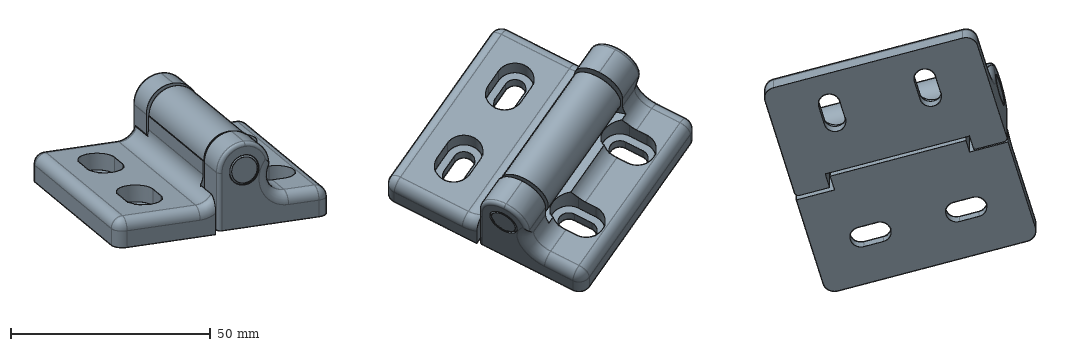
import cadquery as cq
import math


WIDTH = 55.5
REAR_REACH = 23.2
FRONT_REACH = 35.05
TOP_HEIGHT = 23.5
AXIS_HEIGHT = 16.2

PLATE_THICKNESS = 7.5
PLATE_ROUND = 3.0
COVE_RADIUS = 5.0
REAR_BOTTOM = 0.75
REAR_WALL = 6.85

CHEEK_WIDTH = 8.9
CHEEK_PEAK_Y = 0.05
CHEEK_ROUND = 1.05

SIDE_GAP = 1.1
KNUCKLE_RADIUS = 7.0
KNUCKLE_FACE = 7.15
WEB_BACK = 3.95
SHELF_HEIGHT = 10.8
END_GAP = 0.65

RECESS_EDGE = 7.85
RECESS_SLOPE = 25
RECESS_CLEARANCE = 0.6

PIN_DIAMETER = 8.0
PIN_Y = -0.1
PIN_CHAMFER = 0.5

SLOT_SPACING = 25.0
SLOT_LENGTH = 10.55
SLOT_WIDTH = 5.5
COUNTERBORE_MARGIN = 2.05
COUNTERBORE_DEPTH = 4.5
REAR_SLOT_Y = 12.4
FRONT_SLOT_Y = -22.3

CHEEK_FACE = TOP_HEIGHT - AXIS_HEIGHT - CHEEK_PEAK_Y
RECESS_WIDTH = WIDTH - 2 * CHEEK_WIDTH
KNUCKLE_WIDTH = RECESS_WIDTH - 2 * SIDE_GAP
REAR_TOP = REAR_BOTTOM + PLATE_THICKNESS


def block(x_range, y_range, z_range):
    """Box given by its limits along each axis."""
    size = [high - low for low, high in (x_range, y_range, z_range)]
    corner = (x_range[0], y_range[0], z_range[0])
    return cq.Workplane("XY").box(*size, centered=False).translate(corner)


def cylinder_along_x(diameter, length, y):
    """Cylinder along X at the height of the knuckle's axis, centred on x = 0."""
    return (
        cq.Workplane("YZ", origin=(-length / 2, y, AXIS_HEIGHT))
        .circle(diameter / 2)
        .extrude(length)
    )


def leaf_base(wall, reach, bottom):
    """Plate reaching to +Y with rounded edges, and a square root for the cove at its wall."""
    half = WIDTH / 2
    top = bottom + PLATE_THICKNESS
    plate_start = wall + COVE_RADIUS
    plate = block((-half, half), (plate_start, reach), (bottom, top))
    plate = plate.edges("|Z and >Y").fillet(PLATE_ROUND)
    plate = plate.faces(">Z").edges("not <Y").fillet(PLATE_ROUND)
    root = block((-half, half), (wall - CHEEK_ROUND, plate_start), (bottom, top + COVE_RADIUS))
    return plate.union(root)


def cove_cutter(wall, bottom):
    """Round groove along X; it flares at both ends to carry the plate's edge round up the wall."""
    half = WIDTH / 2
    flare_start = half - PLATE_ROUND
    flare_radius = COVE_RADIUS + PLATE_ROUND
    diagonal = PLATE_ROUND * math.sqrt(0.5)
    mid_x = flare_start + diagonal
    mid_radius = flare_radius - diagonal
    centre = (0, wall + COVE_RADIUS, bottom + PLATE_THICKNESS + COVE_RADIUS)
    return (
        cq.Workplane("XZ", origin=centre)
        .moveTo(-half, 0)
        .lineTo(-half, -flare_radius)
        .threePointArc((-mid_x, -mid_radius), (-flare_start, -COVE_RADIUS))
        .lineTo(flare_start, -COVE_RADIUS)
        .threePointArc((mid_x, -mid_radius), (half, -flare_radius))
        .lineTo(half, 0)
        .close()
        .revolve(180, (0, 0, 0), (-1, 0, 0))
    )


def screw_slots(y, bottom, angle):
    """Pair of counterbored slots; the angle turns their long side away from X."""
    floor = bottom + PLATE_THICKNESS - COUNTERBORE_DEPTH
    centres = [(-SLOT_SPACING / 2, y), (SLOT_SPACING / 2, y)]
    slots = (
        cq.Workplane("XY", origin=(0, 0, bottom))
        .pushPoints(centres)
        .slot2D(SLOT_LENGTH, SLOT_WIDTH, angle)
        .extrude(PLATE_THICKNESS)
    )
    counterbores = (
        cq.Workplane("XY", origin=(0, 0, floor))
        .pushPoints(centres)
        .slot2D(SLOT_LENGTH + 2 * COUNTERBORE_MARGIN, SLOT_WIDTH + 2 * COUNTERBORE_MARGIN, angle)
        .extrude(COUNTERBORE_DEPTH + COVE_RADIUS)
    )
    return slots.union(counterbores)


def right_cheek():
    """Upright lug at the +X end, with its outer edges rounded; its rear arc is the tighter one."""
    rear_radius = REAR_WALL - CHEEK_PEAK_Y
    cheek = (
        cq.Workplane("YZ", origin=(WIDTH / 2 - CHEEK_WIDTH, 0, 0))
        .moveTo(-CHEEK_FACE, REAR_BOTTOM)
        .lineTo(-CHEEK_FACE, AXIS_HEIGHT)
        .tangentArcPoint((CHEEK_PEAK_Y, TOP_HEIGHT), relative=False)
        .tangentArcPoint((REAR_WALL, TOP_HEIGHT - rear_radius), relative=False)
        .lineTo(REAR_WALL, REAR_BOTTOM)
        .close()
        .extrude(CHEEK_WIDTH)
    )
    return cheek.faces(">X").edges("not <Z").fillet(CHEEK_ROUND)


def knuckle_recess():
    """Opening between the cheeks, with a sloping floor behind the knuckle."""
    cove_y = REAR_WALL + COVE_RADIUS
    cove_z = REAR_TOP + COVE_RADIUS
    edge_height = cove_z - math.sqrt(COVE_RADIUS**2 - (cove_y - RECESS_EDGE) ** 2)
    foot_y = RECESS_CLEARANCE - WEB_BACK
    foot_height = edge_height - (RECESS_EDGE - foot_y) * math.tan(math.radians(RECESS_SLOPE))
    return (
        cq.Workplane("YZ", origin=(-RECESS_WIDTH / 2, 0, 0))
        .moveTo(RECESS_EDGE, TOP_HEIGHT)
        .lineTo(RECESS_EDGE, edge_height)
        .lineTo(foot_y, foot_height)
        .lineTo(foot_y, 0)
        .lineTo(-CHEEK_FACE, 0)
        .lineTo(-CHEEK_FACE, TOP_HEIGHT)
        .close()
        .extrude(RECESS_WIDTH)
    )


def make_rear_leaf():
    """Leaf on the +Y side with the two cheeks that hold the pin."""
    half_recess = RECESS_WIDTH / 2
    cheek = right_cheek()
    bridge_height = (REAR_BOTTOM, REAR_TOP + COVE_RADIUS)
    bridge = block((-half_recess, half_recess), (-CHEEK_FACE, REAR_WALL), bridge_height)
    leaf = leaf_base(REAR_WALL, REAR_REACH, REAR_BOTTOM).union(bridge)
    leaf = leaf.union(cheek).union(cheek.mirror("YZ"))
    leaf = leaf.cut(cove_cutter(REAR_WALL, REAR_BOTTOM))
    leaf = leaf.cut(knuckle_recess())
    leaf = leaf.cut(screw_slots(REAR_SLOT_Y, REAR_BOTTOM, 90))
    return leaf.cut(cylinder_along_x(PIN_DIAMETER, WIDTH, PIN_Y))


def knuckle():
    """Barrel around the pin, on a web that joins it to the front leaf."""
    half = KNUCKLE_WIDTH / 2
    barrel = cylinder_along_x(2 * KNUCKLE_RADIUS, KNUCKLE_WIDTH, 0)
    web = block((-half, half), (-KNUCKLE_FACE, -WEB_BACK), (0, AXIS_HEIGHT))
    return barrel.union(web)


def make_front_leaf():
    """Leaf on the -Y side; beside the knuckle it ends against one cheek and short of the other."""
    half = WIDTH / 2
    half_knuckle = KNUCKLE_WIDTH / 2
    leaf = leaf_base(KNUCKLE_FACE, FRONT_REACH, 0).cut(cove_cutter(KNUCKLE_FACE, 0)).mirror("XZ")
    left = (-half, -half_knuckle)
    right = (half_knuckle, half)
    full_height = (0, TOP_HEIGHT)
    leaf = leaf.cut(block(left, (-CHEEK_FACE, 0), full_height))
    leaf = leaf.cut(block(left, (-FRONT_REACH, 0), (SHELF_HEIGHT, TOP_HEIGHT)))
    leaf = leaf.cut(block(right, (-CHEEK_FACE - END_GAP, 0), full_height))
    leaf = leaf.union(knuckle())
    leaf = leaf.cut(screw_slots(FRONT_SLOT_Y, 0, 0))
    return leaf.cut(cylinder_along_x(PIN_DIAMETER, WIDTH, PIN_Y))


def make_pin():
    """Hinge pin, flush with both cheeks and chamfered at its ends."""
    return cylinder_along_x(PIN_DIAMETER, WIDTH, PIN_Y).faces("<X or >X").chamfer(PIN_CHAMFER)


rear_leaf = make_rear_leaf().solids()
front_leaf = make_front_leaf().solids()
pin = make_pin().solids()

result = cq.Compound.makeCompound([rear_leaf.val(), front_leaf.val(), pin.val()])